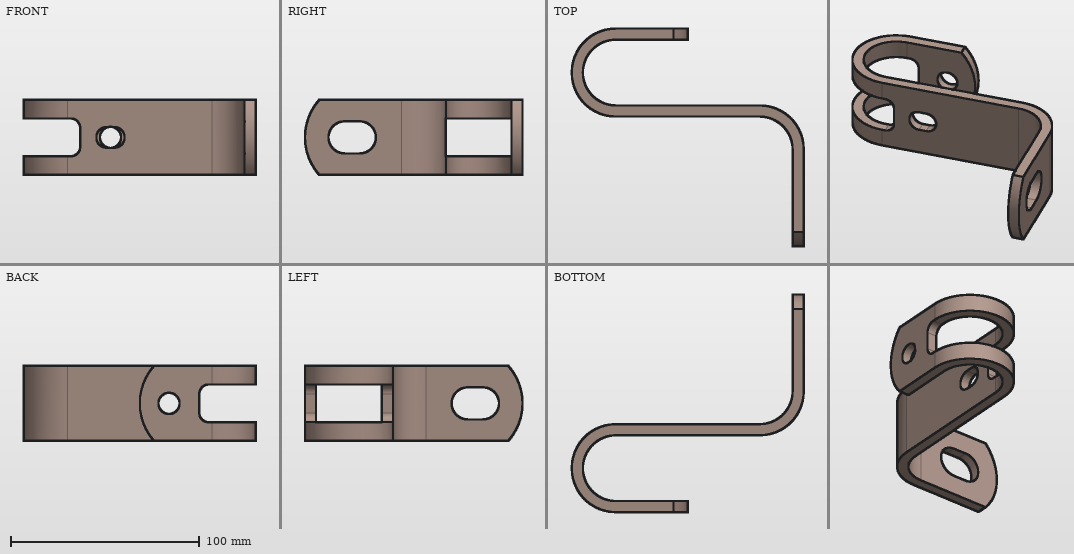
import cadquery as cq
import math

length_x = 123.5
length_y = 115.8
width = 40.0
thickness = 6.0
bend_outer = 23.5
bend_inner = bend_outer - thickness
lip_reach = 61.8
tip_radius = 30.0
tip_stock = 6.2

window_end = 30.0
window_height = 20.0
window_corner = 5.0

bolt_x = 46.2
bolt_diameter = 11.1
bolt_slot_length = 15.1

mount_slot_length = 25.1
mount_slot_height = 16.9
mount_slot_y = 25.2

mid_z = width / 2
u_center_y = length_y - bend_outer
web_outer_y = u_center_y - bend_outer
web_inner_y = u_center_y - bend_inner
elbow_x = length_x - bend_outer
elbow_y = web_inner_y - bend_outer
diagonal = math.sqrt(0.5)


def bent_strip():
    """Strip of constant thickness: lip, U-bend, web, elbow and leg."""
    return (
        cq.Workplane("XY")
        .moveTo(lip_reach + tip_stock, length_y)
        .lineTo(bend_outer, length_y)
        .threePointArc((0, u_center_y), (bend_outer, web_outer_y))
        .lineTo(elbow_x, web_outer_y)
        .threePointArc(
            (elbow_x + bend_inner * diagonal, elbow_y + bend_inner * diagonal),
            (elbow_x + bend_inner, elbow_y),
        )
        .lineTo(length_x - thickness, -tip_stock)
        .lineTo(length_x, -tip_stock)
        .lineTo(length_x, elbow_y)
        .threePointArc(
            (elbow_x + bend_outer * diagonal, elbow_y + bend_outer * diagonal),
            (elbow_x, web_inner_y),
        )
        .lineTo(bend_outer, web_inner_y)
        .threePointArc((bend_outer - bend_inner, u_center_y), (bend_outer, length_y - thickness))
        .lineTo(lip_reach + tip_stock, length_y - thickness)
        .close()
        .extrude(width)
    )


def xz_plane(y):
    """Plane facing +Y at the given Y; its local X is the part's -X."""
    return cq.Workplane(cq.Plane(origin=(0, y, mid_z), xDir=(-1, 0, 0), normal=(0, 1, 0)))


def yz_plane(x):
    """Plane facing +X at the given X; its local X is the part's Y."""
    return cq.Workplane("YZ", origin=(x, 0, mid_z))


def tip_waste(plane, tip, inward):
    """Stock to remove so that a strip end becomes an arc touching the tip."""
    sagitta = tip_radius - math.sqrt(tip_radius**2 - mid_z**2)
    stock_end = tip - inward * tip_stock
    shoulder = tip + inward * sagitta
    return (
        plane.moveTo(shoulder, mid_z)
        .threePointArc((tip, 0), (shoulder, -mid_z))
        .lineTo(stock_end, -mid_z)
        .lineTo(stock_end, mid_z)
        .close()
        .extrude(thickness)
    )


def window():
    """Rounded window through both sides of the U-bend."""
    return (
        xz_plane(web_outer_y)
        .center(-window_end / 2, 0)
        .rect(window_end, window_height)
        .extrude(2 * bend_outer)
        .edges("|Y and >X")
        .fillet(window_corner)
    )


lip_hole = (
    xz_plane(length_y - thickness)
    .center(-bolt_x, 0)
    .circle(bolt_diameter / 2)
    .extrude(thickness)
)
web_slot = (
    xz_plane(web_outer_y)
    .center(-bolt_x, 0)
    .slot2D(bolt_slot_length, bolt_diameter)
    .extrude(thickness)
)
mount_slot = (
    yz_plane(length_x - thickness)
    .center(mount_slot_y, 0)
    .slot2D(mount_slot_length, mount_slot_height)
    .extrude(thickness)
)

result = (
    bent_strip()
    .cut(tip_waste(xz_plane(length_y - thickness), -lip_reach, 1))
    .cut(tip_waste(yz_plane(length_x - thickness), 0, 1))
    .cut(window())
    .cut(lip_hole)
    .cut(web_slot)
    .cut(mount_slot)
)